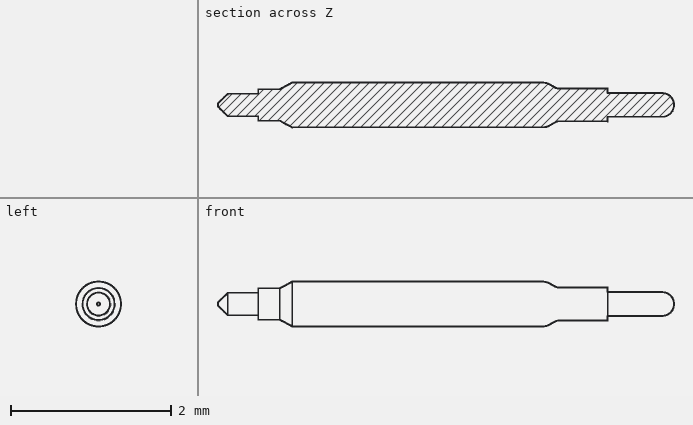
import cadquery as cq
import math

total_length = 5.69

tip_flat_radius = 0.02
rear_pin_radius = 0.285 / 2
collar_radius = 0.4 / 2
barrel_radius = 0.565 / 2
sleeve_radius = 0.415 / 2
plunger_radius = 0.3 / 2

rear_pin_start = 0.125
collar_start = 0.5
taper_start = 0.775
barrel_start = 0.93
barrel_end = 4.05
sleeve_end = 4.86
plunger_dome_start = total_length - plunger_radius

shoulder_angle = math.radians(30)
convex_radius = 0.17
concave_radius = 0.1


def arc_offset(radius, angle):
    """Axial run and radial drop of an arc that turns by angle from the X direction."""
    return radius * math.sin(angle), radius * (1 - math.cos(angle))


convex_run, convex_drop = arc_offset(convex_radius, shoulder_angle)
convex_mid_run, convex_mid_drop = arc_offset(convex_radius, shoulder_angle / 2)
concave_run, concave_drop = arc_offset(concave_radius, shoulder_angle)
concave_mid_run, concave_mid_drop = arc_offset(concave_radius, shoulder_angle / 2)

cone_start = barrel_end + convex_run
cone_drop = barrel_radius - sleeve_radius - convex_drop - concave_drop
cone_end = cone_start + cone_drop / math.tan(shoulder_angle)
sleeve_start = cone_end + concave_run

dome_mid = plunger_radius * math.sqrt(0.5)
profile = (
    cq.Workplane("XY")
    .lineTo(0, tip_flat_radius)
    .lineTo(rear_pin_start, rear_pin_radius)
    .lineTo(collar_start, rear_pin_radius)
    .lineTo(collar_start, collar_radius)
    .lineTo(taper_start, collar_radius)
    .lineTo(barrel_start, barrel_radius)
    .lineTo(barrel_end, barrel_radius)
    .threePointArc(
        (barrel_end + convex_mid_run, barrel_radius - convex_mid_drop),
        (cone_start, barrel_radius - convex_drop),
    )
    .lineTo(cone_end, sleeve_radius + concave_drop)
    .threePointArc(
        (sleeve_start - concave_mid_run, sleeve_radius + concave_mid_drop),
        (sleeve_start, sleeve_radius),
    )
    .lineTo(sleeve_end, sleeve_radius)
    .lineTo(sleeve_end, plunger_radius)
    .lineTo(plunger_dome_start, plunger_radius)
    .threePointArc((plunger_dome_start + dome_mid, dome_mid), (total_length, 0))
    .close()
)

result = profile.revolve(360, (0, 0, 0), (1, 0, 0))